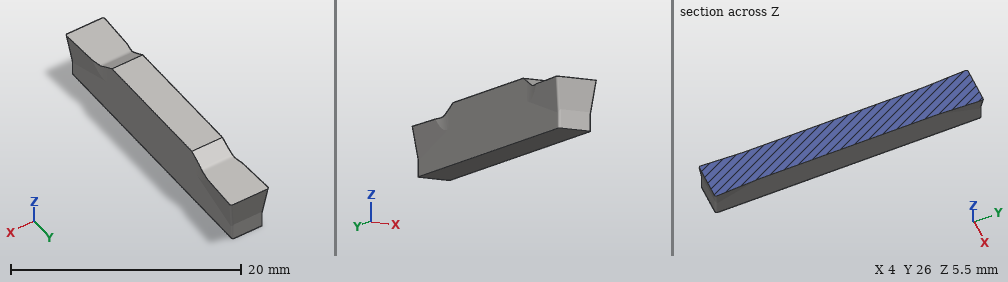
import cadquery as cq
import math


length = 26.0
tip_width = 4.0
height = 5.5
body_width = 3.2

rake_height = 4.5
clearance_angle = 7.0
side_taper = 2.5
corner_radius = 0.2
neck_y = 7.0
neck_radius = 8.7

ramp_angle = 30.0
ramp_foot_y = 8.0
ramp_radius = 1.0

body_end_y = 12.65

tip_y = length / 2
taper_slope = math.tan(math.radians(side_taper))
clearance_slope = math.tan(math.radians(clearance_angle))
ramp_top_y = ramp_foot_y - (height - rake_height) / math.tan(math.radians(ramp_angle))


def make_body():
    """Plain bar with rounded upright corners."""
    bar = cq.Workplane("XY").rect(body_width, 2 * body_end_y).extrude(height)
    return bar.edges("|Z").fillet(corner_radius)


def make_head():
    """Flared head at the +Y end, left at full height until the rake face is cut."""
    taper = math.radians(side_taper)
    rounding_loss = corner_radius * (math.tan(taper) + 1 / math.cos(taper) - 1)
    lean = (height - rake_height) * clearance_slope
    end_y = tip_y + lean
    end_half = tip_width / 2 + rounding_loss + lean + lean * taper_slope
    start_half = end_half - end_y * taper_slope
    outline = [(-start_half, 0), (start_half, 0), (end_half, end_y), (-end_half, end_y)]
    head = (
        cq.Workplane("XY", origin=(0, 0, height))
        .polyline(outline)
        .close()
        .extrude(-height, taper=clearance_angle)
    )
    tip_corners = head.faces(">Y").edges("not #Z").edges("not |X")
    head = head.newObject(tip_corners.vals()).fillet(corner_radius)

    behind_neck = cq.Workplane("XY").box(2 * tip_width, 2 * neck_y, 2 * height)
    head = head.cut(behind_neck)
    for side in (-1, 1):
        neck_x = side * (body_width / 2 + neck_radius)
        neck = cq.Workplane("XY").center(neck_x, neck_y).circle(neck_radius).extrude(height)
        head = head.cut(neck)
    return head


def make_rake_cutter():
    """Space above the rake face and ramp at the +Y end."""
    ramp = math.radians(ramp_angle)
    tangent = ramp_radius * math.tan(ramp / 2)
    arc_start_y = ramp_foot_y + tangent
    arc_mid = (
        arc_start_y - ramp_radius * math.sin(ramp / 2),
        rake_height + ramp_radius * (1 - math.cos(ramp / 2)),
    )
    arc_end = (
        ramp_foot_y - tangent * math.cos(ramp),
        rake_height + tangent * math.sin(ramp),
    )
    return (
        cq.Workplane("YZ")
        .moveTo(ramp_top_y, height)
        .lineTo(*arc_end)
        .threePointArc(arc_mid, (arc_start_y, rake_height))
        .lineTo(length, rake_height)
        .lineTo(length, height)
        .close()
        .extrude(tip_width, both=True)
    )


head = make_head()
rake_cutter = make_rake_cutter()
end_turns = (0, 180)

result = make_body()
for turn in end_turns:
    result = result.union(head.rotate((0, 0, 0), (0, 0, 1), turn))
for turn in end_turns:
    result = result.cut(rake_cutter.rotate((0, 0, 0), (0, 0, 1), turn))